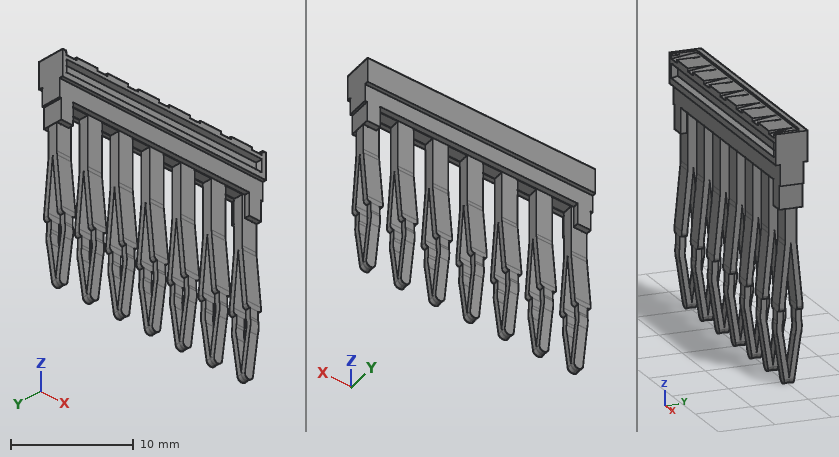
import cadquery as cq
import math


housing_length = 23.0
cap_depth = 2.8
cap_bottom = -2.67
body_depth = 2.07
body_bottom = -4.35
end_bottom = -4.5
leg_bottom = -6.6

prong_count = 7
prong_pitch = 3.5
prong_width = 1.6
row_half_pitch = (prong_count - 1) / 2 * prong_pitch
row_half_length = row_half_pitch + prong_width / 2
leg_width = 1.33
leg_inner_x = row_half_length - leg_width

side_rim = 0.45
back_rim = 0.5
recess_floor = -0.15
recess_length = housing_length - 2 * side_rim
recess_corner_radius = 0.25
mouth_length = 0.71
mouth_widening = 0.07

notch_width = 1.13
notch_back_margin = 0.75
notch_back_y = cap_depth / 2 - notch_back_margin
notch_front_depth = 0.25

groove_top = -0.83
groove_bottom = -2.1
groove_depth = 0.48
groove_inset = 0.2
groove_taper = math.degrees(math.atan2(groove_inset, groove_depth))

web_top = cap_bottom
web_bottom = -4.42
leg_wall = 0.5
web_half_length = row_half_length - leg_wall

tine_thickness = 0.5
bend_start = -9.35
spread_start = -9.75
spread_slope = 0.098
slit_top = -9.61
shoulder_start = -14.93
shoulder_bottom = -15.48
bulge_ramp_start = -16.33
bulge_start = -16.58
bulge_peak = -16.97
bulge_end = -17.75
shoulder_y = 1.04
shank_y = 1.05
bulge_start_y = 1.1
bulge_peak_y = 1.13
bulge_end_y = 1.01
closing_slope = 0.15
slit_bottom = -21.28
tip_bottom = -21.9

shoulder_radius = 0.32
blade_width = 0.92
tip_radius = 0.44


def block(x_min, x_max, depth, bottom, top):
    """Box between two X and two Z positions, centred on the middle plane."""
    return cq.Workplane("XY").box(x_max - x_min, depth, top - bottom).translate(
        ((x_min + x_max) / 2, 0, (bottom + top) / 2)
    )


def prong_positions():
    return [index * prong_pitch - row_half_pitch for index in range(prong_count)]


def label_recess():
    front_y = -cap_depth / 2
    back_y = cap_depth / 2 - back_rim
    recess = (
        cq.Workplane("XY", origin=(0, (front_y + back_y) / 2, recess_floor))
        .rect(recess_length, back_y - front_y)
        .extrude(-recess_floor)
        .edges("|Z and >Y")
        .fillet(recess_corner_radius)
    )
    mouth = (
        cq.Workplane("XY", origin=(0, front_y + mouth_length / 2, recess_floor))
        .rect(recess_length + 2 * mouth_widening, mouth_length)
        .extrude(-recess_floor)
    )
    return recess.union(mouth)


def label_notch(x):
    """Wedge that is deepest at the front, kept between the recess ends."""
    x_min = max(x - notch_width / 2, -recess_length / 2)
    x_max = min(x + notch_width / 2, recess_length / 2)
    front_y = -cap_depth / 2
    return (
        cq.Workplane("YZ", origin=(x_min, 0, 0))
        .moveTo(notch_back_y, recess_floor)
        .lineTo(front_y, recess_floor)
        .lineTo(front_y, recess_floor - notch_front_depth)
        .close()
        .extrude(x_max - x_min)
    )


def front_groove():
    return (
        cq.Workplane("XZ", origin=(0, -cap_depth / 2, (groove_top + groove_bottom) / 2))
        .rect(recess_length, groove_top - groove_bottom)
        .extrude(-groove_depth, taper=groove_taper)
    )


def end_block(side, outer_x, bottom):
    """Part of a housing end, from the leg's inner face out to outer_x, on the given side of X = 0."""
    x_min, x_max = sorted((side * leg_inner_x, side * outer_x))
    return block(x_min, x_max, body_depth, bottom, cap_bottom)


def make_housing(comb):
    half_length = housing_length / 2
    housing = block(-half_length, half_length, cap_depth, cap_bottom, 0)
    housing = housing.union(block(-half_length, half_length, body_depth, body_bottom, cap_bottom))
    for side in (-1, 1):
        housing = housing.union(end_block(side, half_length, end_bottom))
        housing = housing.union(end_block(side, row_half_length, leg_bottom))
    housing = housing.cut(label_recess()).cut(front_groove())
    for x in prong_positions():
        housing = housing.cut(label_notch(x))
    return housing.cut(comb)


def tine(width):
    """One half of a prong, on the +Y side of the middle plane, with the given width along X."""
    bend_y = tine_thickness + spread_slope * (bend_start - spread_start) / 2
    tip_y = bulge_end_y - closing_slope * (bulge_end - tip_bottom)
    tip_middle = tip_bottom + closing_slope * tip_y
    return (
        cq.Workplane("YZ", origin=(-width / 2, 0, 0))
        .moveTo(0, web_bottom)
        .lineTo(tine_thickness, web_bottom)
        .lineTo(tine_thickness, bend_start)
        .tangentArcPoint((bend_y, spread_start), relative=False)
        .lineTo(shoulder_y, shoulder_start)
        .lineTo(shank_y, shoulder_bottom)
        .lineTo(shank_y, bulge_ramp_start)
        .lineTo(bulge_start_y, bulge_start)
        .threePointArc((bulge_peak_y, bulge_peak), (bulge_end_y, bulge_end))
        .lineTo(tip_y, tip_bottom)
        .lineTo(0, tip_middle)
        .lineTo(0, slit_bottom)
        .lineTo(bulge_end_y - tine_thickness, bulge_end)
        .threePointArc(
            (bulge_peak_y - tine_thickness, bulge_peak),
            (bulge_start_y - tine_thickness, bulge_start),
        )
        .lineTo(shank_y - tine_thickness, bulge_ramp_start)
        .lineTo(shank_y - tine_thickness, shoulder_bottom)
        .lineTo(shoulder_y - tine_thickness, shoulder_start)
        .lineTo(0, slit_top)
        .close()
        .extrude(width)
    )


def make_prong():
    wide_zone = block(-prong_width / 2, prong_width / 2, cap_depth, shoulder_bottom, web_bottom)
    wide_zone = wide_zone.edges("|Y and <Z").fillet(shoulder_radius)
    wide_part = tine(prong_width).intersect(wide_zone)
    blade = tine(blade_width).faces("<Z").edges("not |X").fillet(tip_radius)
    half = blade.union(wide_part)
    return half.union(half.mirror("XZ"))


def make_comb():
    comb = block(-web_half_length, web_half_length, 2 * tine_thickness, web_bottom, web_top)
    prong = make_prong()
    for x in prong_positions():
        comb = comb.union(prong.translate((x, 0, 0)))
    for side in (-1, 1):
        x_min, x_max = sorted((side * web_half_length, side * row_half_length))
        comb = comb.cut(block(x_min, x_max, cap_depth, leg_bottom, web_top))
    return comb


comb = make_comb()
housing = make_housing(comb)
result = cq.Compound.makeCompound([housing.val(), comb.val()])